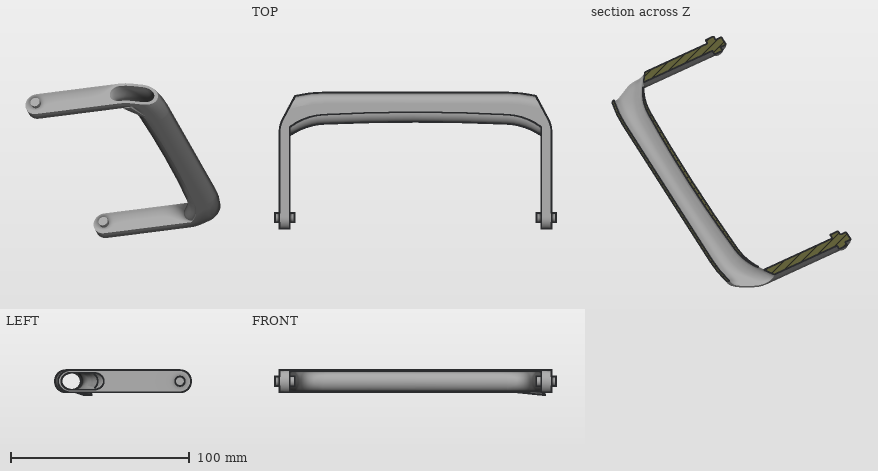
import cadquery as cq

length = 157.4
depth = 76.3
arm_outer = 76.2
arm_inner = 70.4
strap_height = 12.6
strap_radius = strap_height / 2
pivot_y = strap_radius - depth
arm_overlap = 3.1

pin_diameter = 5.4
pin_inner = 67.7

corner_rear = (67.4, -1.9)
corner_front_y = -18.4
corner_radius = 15.1

bend_x = 51.5
rear_end = (71.5, -9.6)
strap_front = (-11.0, -12.5, -19.4)
bulge_front = (-10.9, -12.0, -17.5)
bore_front = (-9.8, -11.3, -17.8)
bulge_radius = 5.7
bore_radius = 4.7
overrun = 12.6

lip_start = 57.3
lip_end = 72.7
lip_drop = 1.5
lip_edge = 0.3
lip_outline = [(lip_start, -13.4), (lip_end, -20.8), (lip_end, -16.5), (lip_start, -11.8)]


def mirrored(half):
    """Join a half at +X with its mirror image."""
    return half.union(half.mirror("YZ"))


def plate(outline, height):
    """Extrude a plan outline symmetrically about Z = 0."""
    return outline.extrude(height / 2, both=True)


def rear_curve():
    """Straight rear centre line with a tangent arc at its end, from the middle outwards."""
    return (
        cq.Workplane("XY")
        .moveTo(0, -strap_radius)
        .lineTo(bend_x, -strap_radius)
        .tangentArcPoint(rear_end, relative=False)
    )


def front_curve(stations):
    """Two tangent arcs from the middle to the inner face of the arm."""
    middle_y, bend_y, arm_y = stations
    sag = middle_y - bend_y
    radius = (bend_x ** 2 + sag ** 2) / (2 * sag)
    half_x = bend_x / 2
    half_y = middle_y - radius + (radius ** 2 - half_x ** 2) ** 0.5
    return (
        cq.Workplane("XY")
        .moveTo(0, middle_y)
        .threePointArc((half_x, half_y), (bend_x, bend_y))
        .tangentArcPoint((arm_inner, arm_y), relative=False)
    )


def extended(curve):
    """Continue a grip curve straight past its end."""
    edge = curve.ctx.pendingEdges[-1]
    target = edge.endPoint() + edge.tangentAt(1) * overrun
    return curve.lineTo(target.x, target.y)


def round_sweep(curve, radius):
    """Sweep a round section along a grip curve that starts on the middle plane."""
    start_y = curve.ctx.pendingEdges[0].startPoint().y
    path = extended(curve).wire()
    return cq.Workplane("YZ").center(start_y, 0).circle(radius).sweep(path)


def band(stations, height):
    """Flat-topped half of the grip between its rear and front curves."""
    rear = extended(rear_curve()).wire().val()
    front = extended(front_curve(stations)).wire().val()
    joins = [
        cq.Edge.makeLine(rear.startPoint(), front.startPoint()),
        cq.Edge.makeLine(rear.endPoint(), front.endPoint()),
    ]
    outline = cq.Wire.assembleEdges(rear.Edges() + front.Edges() + joins)
    return plate(cq.Workplane("XY").add(outline).toPending(), height)


def outer_limit():
    """Half of the outer plan shape, with the sloping corner blended into the arm."""
    slope = (corner_rear[1] - corner_front_y) / (arm_outer - corner_rear[0])
    rear_x = corner_rear[0] - (strap_radius - corner_rear[1]) / slope
    outline = (
        cq.Workplane("XY")
        .moveTo(0, strap_radius)
        .lineTo(rear_x, strap_radius)
        .lineTo(arm_outer, corner_front_y)
        .lineTo(arm_outer, -depth)
        .lineTo(0, -depth)
        .close()
    )
    corner = cq.selectors.NearestToPointSelector((arm_outer, corner_front_y, 0))
    return plate(outline, 2 * strap_height).edges("|Z").edges(corner).fillet(corner_radius)


def arm():
    """Flat arm with a round pivot end, running back into the corner of the grip."""
    arm_back = strap_front[2] + arm_overlap
    width = arm_outer - arm_inner
    bar = (
        cq.Workplane("XY")
        .box(width, arm_back - pivot_y, strap_height, centered=(False, False, True))
        .translate((arm_inner, pivot_y, 0))
    )
    round_end = (
        cq.Workplane("YZ", origin=(arm_inner, pivot_y, 0))
        .circle(strap_radius)
        .extrude(width)
    )
    return bar.union(round_end)


def pin():
    """Pivot pin that stands out on both faces of the arm."""
    return (
        cq.Workplane("YZ", origin=(pin_inner, pivot_y, 0))
        .circle(pin_diameter / 2)
        .extrude(length / 2 - pin_inner)
    )


def lip():
    """Thin wedge that slopes down from the underside towards +X."""
    bottom = -strap_radius
    profile = (
        cq.Workplane("XZ")
        .moveTo(lip_start, bottom + lip_edge)
        .lineTo(lip_start, bottom)
        .lineTo(lip_end, bottom - lip_drop)
        .lineTo(lip_end, bottom - lip_drop + lip_edge)
        .lineTo(arm_inner, bottom + lip_edge)
        .close()
        .extrude(depth)
    )
    return profile.intersect(plate(cq.Workplane("XY").polyline(lip_outline).close(), 2 * strap_height))


grip = (
    band(strap_front, strap_height)
    .union(round_sweep(rear_curve(), strap_radius))
    .union(round_sweep(front_curve(bulge_front), bulge_radius))
)
bore = (
    band(bore_front, 2 * bore_radius)
    .union(round_sweep(rear_curve(), bore_radius))
    .union(round_sweep(front_curve(bore_front), bore_radius))
)
half_handle = grip.union(arm()).intersect(outer_limit()).cut(bore).union(pin())
result = mirrored(half_handle).union(lip())